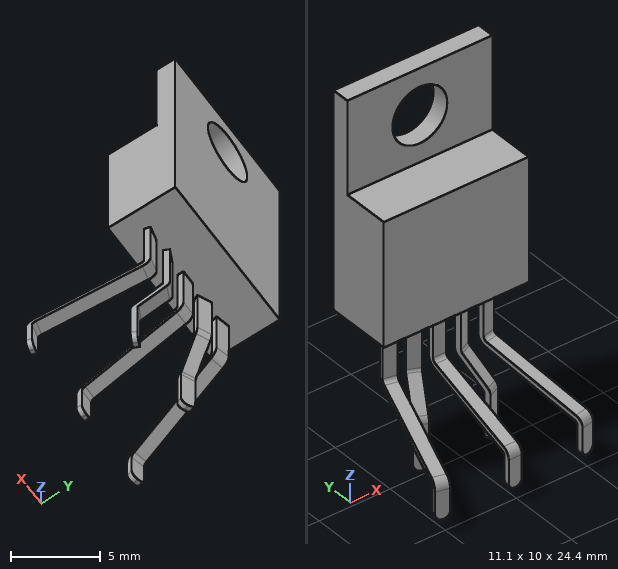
import cadquery as cq
import math

body_width = 10.22
body_depth = 4.57
body_height = 8.58
tab_thickness = 1.27
tab_height = 6.43
hole_diameter = 3.85

lead_width = 0.93
lead_thickness = 0.4
lead_pitch = 1.7
lead_plane_y = -2.85
upper_bend_z = -3.94
inner_bend_radius = 0.32
outer_bend_radius = inner_bend_radius + lead_thickness
tip_radius = 0.45

long_reach = 6.87
long_bend_z = -6.33
centre_tip_z = -8.75
outer_tip_z = -8.7
outer_shift = 1.65
short_reach = 1.66
short_bend_z = -6.1
short_tip_z = -9.44
short_shift = 0.78


def make_body():
    tab = cq.Workplane("XY").box(
        body_width, tab_thickness, body_height + tab_height, centered=(True, False, False)
    ).translate((0, -tab_thickness, 0))
    block = cq.Workplane("XY").box(
        body_width, body_depth, body_height, centered=(True, False, False)
    ).translate((0, -body_depth, 0))
    hole = (
        cq.Workplane("XZ")
        .center(0, body_height + tab_height / 2)
        .circle(hole_diameter / 2)
        .extrude(tab_thickness)
    )
    return tab.cut(hole).union(block)


def make_lead(x, shift, reach, lower_bend_z, tip_z):
    """Lead leaving the body at x, its foot offset by shift in X and reach toward -Y."""
    run = math.hypot(shift, reach)
    turn = math.atan2(run, upper_bend_z - lower_bend_z)
    half = lead_thickness / 2
    mitre = half * math.tan(turn / 2)
    upper_inner = (half, upper_bend_z + mitre)
    upper_outer = (-half, upper_bend_z - mitre)
    lower_outer = (run + half, lower_bend_z + mitre)
    lower_inner = (run - half, lower_bend_z - mitre)
    profile = [
        (half, 0), upper_inner, lower_outer, (run + half, tip_z),
        (run - half, tip_z), lower_inner, upper_outer, (-half, 0),
    ]
    plane = cq.Plane(origin=(0, 0, 0), xDir=(0, -1, 0), normal=(-1, 0, 0))
    lead = cq.Workplane(plane).polyline(profile).close().extrude(lead_width / 2, both=True)

    def bend_edge(corner):
        along, height = corner
        return cq.selectors.NearestToPointSelector((0, -along, height))

    for corner in (upper_inner, lower_inner):
        lead = lead.edges("|X").edges(bend_edge(corner)).fillet(inner_bend_radius)
    for corner in (upper_outer, lower_outer):
        lead = lead.edges("|X").edges(bend_edge(corner)).fillet(outer_bend_radius)
    lead = lead.faces("<Z").edges("|Y").fillet(tip_radius)

    yaw = math.degrees(math.atan2(shift, reach))
    return lead.rotate((0, 0, 0), (0, 0, 1), yaw).translate((x, lead_plane_y, 0))


result = make_body().union(make_lead(0, 0, long_reach, long_bend_z, centre_tip_z))
for side in (-1, 1):
    result = result.union(
        make_lead(side * lead_pitch, side * short_shift, short_reach, short_bend_z, short_tip_z)
    )
    result = result.union(
        make_lead(side * 2 * lead_pitch, side * outer_shift, long_reach, long_bend_z, outer_tip_z)
    )